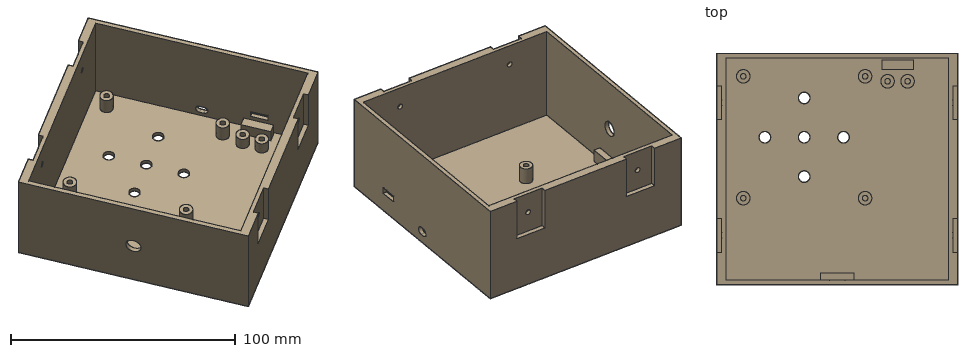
import cadquery as cq

length = 107.4
width = 103.0
height = 47.0
side_wall = 4.2
end_wall = 2.0
floor = 2.0
inner_length = length - 2 * side_wall
inner_width = width - 2 * end_wall
inner_back = inner_width / 2

recess_width = 15.0
recess_height = 20.2
recess_depth = 2.3
recess_offset = 29.5
screw_hole_diameter = 2.5

post_diameter = 6.0
post_bore = 2.5
board_center = (-14.7, 14.2)
board_pitch = 54.2
board_post_height = 8.0
connector_x = 26.8
connector_post_y = 39.1
connector_post_pitch = 8.9
connector_support_height = 6.0

floor_hole_diameter = 5.0
floor_hole_spacing = 17.5

rib_length = 14.1
rib_thickness = 4.2
rib_gap = 0.9
cable_block_length = 15.0
cable_block_thickness = 3.2
cable_block_height = connector_support_height

cable_hole_diameter = 7.1
cable_hole_z = 22.5
connector_slot_length = 8.1
connector_slot_height = 3.0
connector_slot_z = 10.7
port_slot_length = 5.7
port_slot_height = 3.8
port_slot_z = 5.9


def make_box():
    outer = cq.Workplane("XY").box(length, width, height, centered=(True, True, False))
    cavity = (
        cq.Workplane("XY", origin=(0, 0, floor))
        .box(inner_length, inner_width, height, centered=(True, True, False))
    )
    return outer.cut(cavity)


def make_floor_block(x, y, block_length, block_width, block_height):
    return (
        cq.Workplane("XY", origin=(x, y, 0))
        .box(block_length, block_width, floor + block_height, centered=(True, True, False))
    )


def make_posts(points, post_height):
    posts = (
        cq.Workplane("XY")
        .pushPoints(points)
        .circle(post_diameter / 2)
        .extrude(floor + post_height)
    )
    bores = (
        cq.Workplane("XY", origin=(0, 0, floor))
        .pushPoints(points)
        .circle(post_bore / 2)
        .extrude(post_height)
    )
    return posts.cut(bores)


def make_side_recesses():
    cutters = cq.Workplane("XY")
    for side in (-1, 1):
        for y in (-recess_offset, recess_offset):
            recess = cq.Workplane("XY").box(recess_depth, recess_width, recess_height)
            recess_center = (side * (length - recess_depth) / 2, y, height - recess_height / 2)
            cutters = cutters.add(recess.translate(recess_center))
    screw_holes = (
        cq.Workplane("YZ")
        .pushPoints([(y, height - recess_height / 2) for y in (-recess_offset, recess_offset)])
        .circle(screw_hole_diameter / 2)
        .extrude(length / 2, both=True)
    )
    return cutters.combine().union(screw_holes)


def make_floor_holes():
    x, y = board_center
    points = [(x, y)]
    for step in (-floor_hole_spacing, floor_hole_spacing):
        points.append((x + step, y))
        points.append((x, y + step))
    return cq.Workplane("XY").pushPoints(points).circle(floor_hole_diameter / 2).extrude(floor)


board_points = [
    (board_center[0] + sx * board_pitch / 2, board_center[1] + sy * board_pitch / 2)
    for sx in (-1, 1)
    for sy in (-1, 1)
]
connector_points = [
    (connector_x + side * connector_post_pitch / 2, connector_post_y)
    for side in (-1, 1)
]

rib_y = inner_back - rib_gap - rib_thickness / 2
cable_block_width = end_wall + cable_block_thickness
cable_block_y = (cable_block_width - width) / 2

connector_slot = (
    cq.Workplane("XY", origin=(connector_x, (width - end_wall) / 2, connector_slot_z))
    .box(connector_slot_length, end_wall, connector_slot_height)
)

port_slot = (
    cq.Workplane("XZ", origin=(0, width / 2, port_slot_z))
    .slot2D(port_slot_length, port_slot_height)
    .extrude(end_wall)
)

cable_hole = (
    cq.Workplane("XZ", origin=(0, end_wall - width / 2, cable_hole_z))
    .circle(cable_hole_diameter / 2)
    .extrude(end_wall)
)

result = (
    make_box()
    .union(make_posts(board_points, board_post_height))
    .union(make_posts(connector_points, connector_support_height))
    .union(make_floor_block(connector_x, rib_y, rib_length, rib_thickness, connector_support_height))
    .union(make_floor_block(0, cable_block_y, cable_block_length, cable_block_width, cable_block_height))
    .cut(make_floor_holes())
    .cut(make_side_recesses())
    .cut(cable_hole)
    .cut(port_slot)
    .cut(connector_slot)
)